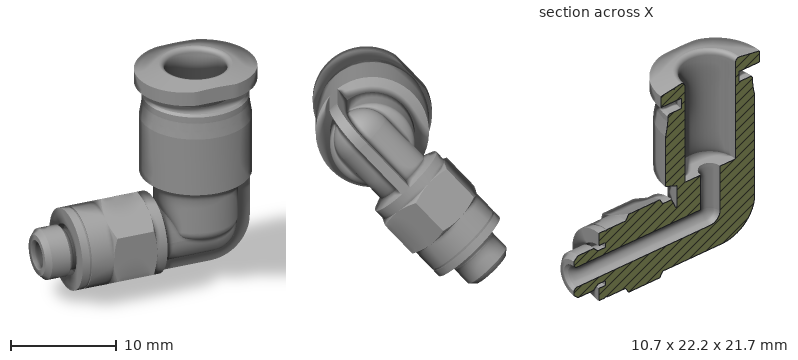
import cadquery as cq
import math


body_diameter = 10.7
collar_diameter = 10.2
body_bottom = 5.8
body_cone_start = 11.75
collar_bottom = 13.33
body_top = 14.2
collar_chamfer = 0.22

neck_diameter = 8.0
neck_top = 5.3
neck_bottom = 0.0
neck_bottom_fillet = 1.0
branch_diameter = 5.7
branch_ball_y = 1.15
rib_thickness = 1.0
rib_corner_radius = 4.0

sleeve_diameter = 6.95
tube_bore_diameter = 6.0
flange_bottom = 15.36
flange_rim_top = 16.72
sleeve_top = 17.12
flange_length = 11.8
flange_width = 9.84
flange_arc_radius = 5.05
flange_corner_fillet = 2.0

nut_flats = 8.0
seat_cone_start = 4.1
seat_cone_end = 4.6
hex_start = 5.65
hex_end = 10.1
hex_chamfer_angle = 30.0
shoulder_end = 12.36
gasket_start = 12.55
gasket_end = 13.32
gasket_gap_depth = 0.1
gasket_bore_diameter = 5.0
relief_diameter = 3.99
relief_end = 13.4
thread_diameter = 5.0
stud_end = 16.3

passage_diameter = 2.3
passage_countersink = 0.3
tube_stop = neck_top


def turned_about_z(profile):
    """Solid of revolution about Z from (radius, z) points."""
    return cq.Workplane("XZ").polyline(profile).close().revolve(360, (0, 0), (0, 1))


def turned_about_stud(profile):
    """Solid of revolution about the stud axis from (radius, distance) points."""
    points = [(radius, -distance) for radius, distance in profile]
    return cq.Workplane("XY").polyline(points).close().revolve(360, (0, 0), (0, 1))


def arc_midpoint_offset(radius):
    """Distance from a square corner's sides to the middle of its rounding arc."""
    return radius * (1 - math.cos(math.radians(45)))


def rod_along_stud(radius, length):
    """Cylinder from the origin along -Y."""
    return cq.Workplane("XZ").circle(radius).extrude(length)


def make_socket_body():
    """Round socket tapering to a collar at the top and to the neck at the bottom."""
    body_radius = body_diameter / 2
    collar_radius = collar_diameter / 2
    return turned_about_z([
        (0, neck_top),
        (neck_diameter / 2, neck_top),
        (body_radius, body_bottom),
        (body_radius, body_cone_start),
        (collar_radius, collar_bottom),
        (collar_radius, body_top - collar_chamfer),
        (collar_radius - collar_chamfer, body_top),
        (0, body_top),
    ])


def make_elbow():
    """Upright neck meeting a ball-ended horizontal branch."""
    neck = (
        cq.Workplane("XY", origin=(0, 0, neck_bottom))
        .circle(neck_diameter / 2)
        .extrude(neck_top - neck_bottom)
        .faces("<Z").edges().fillet(neck_bottom_fillet)
    )
    branch_radius = branch_diameter / 2
    branch_length = hex_start + branch_ball_y
    branch = rod_along_stud(branch_radius, branch_length).translate((0, branch_ball_y, 0))
    branch_ball = cq.Workplane("XY").sphere(branch_radius).translate((0, branch_ball_y, 0))
    return neck.union(branch).union(branch_ball)


def make_rib():
    """Thin central rib round the outside of the bend."""
    back = body_diameter / 2
    bottom = -nut_flats / 2
    corner_offset = arc_midpoint_offset(rib_corner_radius)
    return (
        cq.Workplane("YZ", origin=(-rib_thickness / 2, 0, 0))
        .moveTo(0, body_bottom)
        .lineTo(back, body_bottom)
        .lineTo(back, bottom + rib_corner_radius)
        .threePointArc(
            (back - corner_offset, bottom + corner_offset),
            (back - rib_corner_radius, bottom),
        )
        .lineTo(-seat_cone_end, bottom)
        .lineTo(-seat_cone_end, 0)
        .lineTo(0, 0)
        .close()
        .extrude(rib_thickness)
    )


def make_sleeve():
    """Release sleeve with an oval, two-flat flange and a shallow conical top."""
    sleeve_radius = sleeve_diameter / 2
    half_width = flange_width / 2
    half_length = flange_length / 2
    arc_center_y = half_length - flange_arc_radius
    flat_end_y = arc_center_y + math.sqrt(flange_arc_radius**2 - half_width**2)
    flange = (
        cq.Workplane("XY", origin=(0, 0, flange_bottom))
        .moveTo(half_width, -flat_end_y)
        .lineTo(half_width, flat_end_y)
        .threePointArc((0, half_length), (-half_width, flat_end_y))
        .lineTo(-half_width, -flat_end_y)
        .threePointArc((0, -half_length), (half_width, -flat_end_y))
        .close()
        .extrude(sleeve_top - flange_bottom)
        .edges("|Z").fillet(flange_corner_fillet)
    )
    cone_limit = turned_about_z([
        (0, flange_bottom),
        (half_length, flange_bottom),
        (half_length, flange_rim_top),
        (sleeve_radius, sleeve_top),
        (0, sleeve_top),
    ])
    stem = (
        cq.Workplane("XY", origin=(0, 0, body_top))
        .circle(sleeve_radius)
        .extrude(flange_bottom - body_top)
    )
    return stem.union(flange.intersect(cone_limit))


def make_hex():
    """Hexagon with corners on +Z and -Z, chamfered at both ends."""
    corner_diameter = nut_flats / math.cos(math.radians(30))
    flat_radius = nut_flats / 2
    corner_radius = corner_diameter / 2
    chamfer_length = (corner_radius - flat_radius) * math.tan(math.radians(hex_chamfer_angle))
    prism = (
        cq.Workplane("XZ", origin=(0, -hex_start, 0))
        .transformed(rotate=(0, 0, 90))
        .polygon(6, corner_diameter)
        .extrude(hex_end - hex_start)
    )
    chamfer_limit = turned_about_stud([
        (0, hex_start),
        (flat_radius, hex_start),
        (corner_radius, hex_start + chamfer_length),
        (corner_radius, hex_end - chamfer_length),
        (flat_radius, hex_end),
        (0, hex_end),
    ])
    return prism.intersect(chamfer_limit)


def make_stud():
    """Round seat, shoulder, gasket and plain thread envelope."""
    shoulder_radius = nut_flats / 2
    gap_radius = shoulder_radius - gasket_gap_depth
    relief_radius = relief_diameter / 2
    gasket_bore_radius = gasket_bore_diameter / 2
    thread_radius = thread_diameter / 2
    thread_chamfer = thread_radius - relief_radius
    return turned_about_stud([
        (0, seat_cone_start),
        (branch_diameter / 2, seat_cone_start),
        (shoulder_radius, seat_cone_end),
        (shoulder_radius, shoulder_end),
        (gap_radius, shoulder_end),
        (gap_radius, gasket_start),
        (shoulder_radius, gasket_start),
        (shoulder_radius, gasket_end),
        (gasket_bore_radius, gasket_end),
        (gasket_bore_radius, gasket_start),
        (relief_radius, gasket_start),
        (relief_radius, relief_end),
        (thread_radius, relief_end + thread_chamfer),
        (thread_radius, stud_end - thread_chamfer),
        (relief_radius, stud_end),
        (0, stud_end),
    ])


def make_tube_bore():
    """Bore for the tube, with a rounded mouth reaching the sleeve diameter."""
    bore_radius = tube_bore_diameter / 2
    mouth_radius = sleeve_diameter / 2
    mouth_fillet = mouth_radius - bore_radius
    corner_offset = arc_midpoint_offset(mouth_fillet)
    return (
        cq.Workplane("XZ")
        .moveTo(0, tube_stop)
        .lineTo(bore_radius, tube_stop)
        .lineTo(bore_radius, sleeve_top - mouth_fillet)
        .threePointArc(
            (bore_radius + corner_offset, sleeve_top - corner_offset),
            (mouth_radius, sleeve_top),
        )
        .lineTo(0, sleeve_top)
        .close()
        .revolve(360, (0, 0), (0, 1))
    )


def make_passage():
    """Two bores joined by a ball at the origin, countersunk at the stud end."""
    passage_radius = passage_diameter / 2
    upright = cq.Workplane("XY").circle(passage_radius).extrude(tube_stop)
    lateral = rod_along_stud(passage_radius, stud_end)
    ball = cq.Workplane("XY").sphere(passage_radius)
    countersink = turned_about_stud([
        (0, stud_end - passage_countersink),
        (passage_radius, stud_end - passage_countersink),
        (passage_radius + passage_countersink, stud_end),
        (0, stud_end),
    ])
    return upright.union(lateral).union(ball).union(countersink)


result = (
    make_elbow()
    .union(make_socket_body())
    .union(make_rib())
    .union(make_sleeve())
    .union(make_stud())
    .union(make_hex())
    .cut(make_tube_bore())
    .cut(make_passage())
)